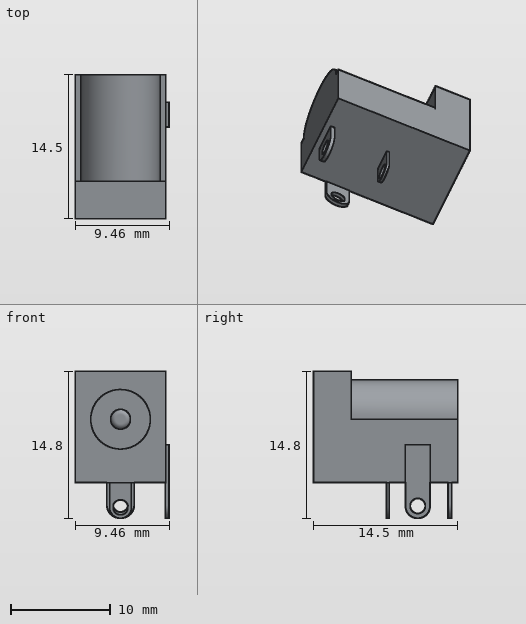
import cadquery as cq

body_width = 9.13
body_length = 14.5
body_height = 11.2
flange_length = 3.8
axis_height = 6.36
barrel_diameter = 7.99

bore_diameter = 6.0
bore_depth = 9.0
pin_diameter = 2.0
pin_recess = 1.35
pin_tip_radius = pin_diameter / 4

terminal_drop = 14.8 - body_height
terminal_hole_diameter = 1.5
rear_width = 2.8
rear_thickness = 0.41
rear_gap = 0.59
middle_width = 2.2
middle_thickness = 0.3
middle_gap = 6.88
side_width = 2.5
side_thickness = 0.4
side_protrusion = 0.33
side_rise = 3.82
side_center_gap = 4.03


def make_housing():
    """Square front flange with a lower block and a round barrel behind it."""
    flange = cq.Workplane("XY").box(
        body_width, flange_length, body_height, centered=(True, False, False)
    )
    block = cq.Workplane("XY").box(
        body_width, body_length, axis_height, centered=(True, False, False)
    )
    return flange.union(block).union(axial_cylinder(barrel_diameter, 0, body_length))


def axial_cylinder(diameter, start, end):
    """Cylinder on the socket axis between two Y positions."""
    return (
        cq.Workplane("XZ", origin=(0, start, axis_height))
        .circle(diameter / 2)
        .extrude(start - end)
    )


def make_terminal(width, thickness, rise):
    """Round-ended, drilled tab facing -Y, with its front face at Y = 0."""
    radius = width / 2
    eye_height = radius - terminal_drop
    return (
        cq.Workplane("XZ")
        .moveTo(-radius, rise)
        .lineTo(-radius, eye_height)
        .threePointArc((0, -terminal_drop), (radius, eye_height))
        .lineTo(radius, rise)
        .close()
        .moveTo(0, eye_height)
        .circle(terminal_hole_diameter / 2)
        .extrude(-thickness)
    )


def make_pin():
    """Centre contact rising from the bore floor, with a rounded tip."""
    pin = axial_cylinder(pin_diameter, pin_recess, bore_depth)
    return pin.faces("<Y").edges().fillet(pin_tip_radius)


bore = axial_cylinder(bore_diameter, 0, bore_depth)
housing = make_housing().cut(bore).union(make_pin())

rear = make_terminal(rear_width, rear_thickness, 0).translate(
    (0, body_length - rear_gap - rear_thickness, 0)
)
middle = make_terminal(middle_width, middle_thickness, 0).translate(
    (0, body_length - middle_gap - middle_thickness, 0)
)

side_outer_x = body_width / 2 + side_protrusion
side = (
    make_terminal(side_width, side_thickness, side_rise)
    .rotate((0, 0, 0), (0, 0, 1), 90)
    .translate((side_outer_x, body_length - side_center_gap, 0))
)

result = housing.union(rear).union(middle).union(side)